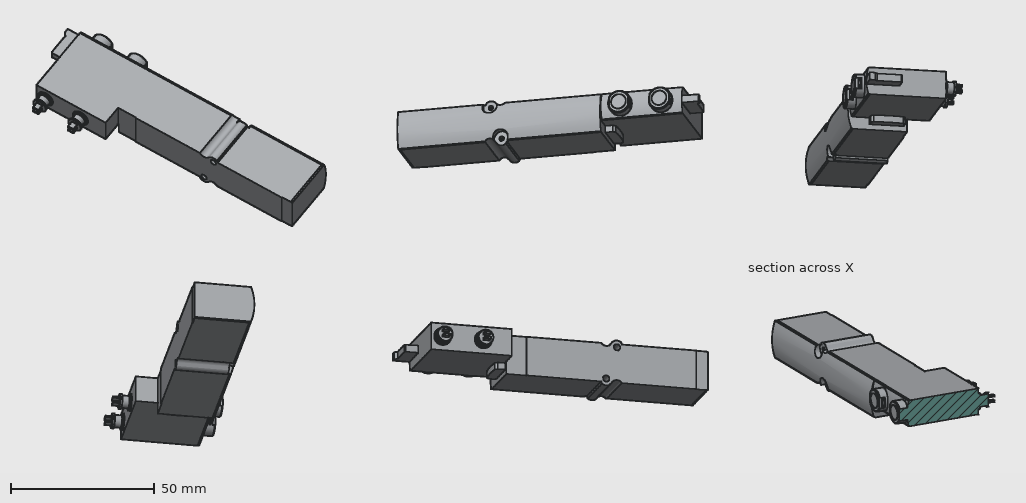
import cadquery as cq
import math

body_left = 35.4
body_right = 108.5
body_height = 14.1
mid_z = body_height / 2

block_left = 6.0
block_right = 35.2
block_height = 9.8
block_bottom = body_height - block_height
block_front = -7.6
block_mid_z = body_height - block_height / 2

back_edge_y = 20.2
body_back = 21.4
block_back = 20.8
edge_bevel_run = 0.7
edge_bevel_drop = 0.2

front_recess = 0.2
pad_left = 42.6
pad_right = 104.2

lobe_x = 75.4
groove_x = 71.5
lobe_radius = 2.4
groove_radius = 2.1
crest_half_width = 1.5
lobe_foot_half_width = 1.8
lobe_rise = 1.3
groove_depth = 1.0
screw_inset = 1.2
screw_diameter = 2.3
screw_bore_diameter = 1.6
screw_mouth_depth = 16.3
counterbore_diameter = 5.3
counterbore_floor = 18.7

contact_xs = (10.0, 24.7)
collar_diameter = 6.1
collar_length = 0.5
collar_step_diameter = 5.3
collar_step_length = 0.2
stem_diameter = 4.5
stem_end = -10.8
flange_diameter = 5.3
flange_length = 0.8
blade_width = 2.3
blade_thickness = 0.7
blade_spacing = 2.0
blade_end = -14.0

knob_xs = (13.3, 28.0)
knob_diameter = 8.1
knob_shoulder = 24.0
knob_end = 24.2
knob_rim = 0.3
knob_face_diameter = 5.3
knob_notch_width = 3.9
knob_notch_depth = 0.7
knob_notch_start = 23.0
knob_slot_start = 21.8
knob_slot_end = 22.4

tab_front = 9.1
tab_height = 2.6
tab_step_x = 1.0
tab_corner = 0.3
tab_hook_end = 19.0
tab_hook_start = 18.0

latch_left = 31.5
latch_front = 1.5
latch_back = 13.8
latch_bottom = 2.0
latch_bulge = 0.3
latch_corner = 0.9


def box(x0, x1, y0, y1, z0, z1):
    """Box between two opposite corners."""
    return cq.Workplane("XY").box(x1 - x0, y1 - y0, z1 - z0, centered=False).translate((x0, y0, z0))


def cylinder(x, z, y0, y1, diameter):
    """Cylinder along Y from y0 to y1."""
    disc = cq.Workplane("XZ", origin=(0, y0, 0)).center(x, z).circle(diameter / 2)
    return disc.extrude(y0 - y1)


def crowned_bar(x0, x1, front, z0, z1, back):
    """Bar along X whose back face is an arc between bevelled long edges."""
    middle = (z0 + z1) / 2
    bevel_start = back_edge_y - edge_bevel_run
    profile = (
        cq.Workplane("YZ", origin=(x0, 0, 0))
        .moveTo(front, z0)
        .lineTo(bevel_start, z0)
        .lineTo(back_edge_y, z0 + edge_bevel_drop)
        .threePointArc((back, middle), (back_edge_y, z1 - edge_bevel_drop))
        .lineTo(bevel_start, z1)
        .lineTo(front, z1)
        .close()
    )
    return profile.extrude(x1 - x0)


def half_turn(shape):
    """Turn a shape by 180 degrees about the body's Y axis of symmetry."""
    centre_x = (lobe_x + groove_x) / 2
    return shape.rotate((centre_x, 0, mid_z), (centre_x, 1, mid_z), 180)


def make_body():
    body = crowned_bar(body_left, body_right, 0, 0, body_height, body_back)
    for left, right in ((body_left, pad_left), (pad_right, body_right)):
        body = body.cut(box(left, right, 0, front_recess, 0, body_height))
    end_outline = [
        (body_right - edge_bevel_run, body_height),
        (body_right, body_height),
        (body_right, body_height - edge_bevel_drop),
    ]
    end_bevel = cq.Workplane("XZ").polyline(end_outline).close().extrude(-body_back)
    lower_bevel = end_bevel.mirror("XY").translate((0, 0, body_height))
    return body.cut(end_bevel).cut(lower_bevel)


def make_lobe():
    """Return a rounded ridge on the top face and the cutter for the groove at its foot."""
    centre_z = body_height + lobe_rise - lobe_radius
    groove_z = body_height - groove_depth + groove_radius
    crest_z = centre_z + math.sqrt(lobe_radius**2 - crest_half_width**2)
    valley_z = groove_z - math.sqrt(groove_radius**2 - crest_half_width**2)
    lobe_foot_x = lobe_x + lobe_foot_half_width
    flank_foot = (groove_x + crest_half_width, valley_z)
    lobe = (
        cq.Workplane("XZ")
        .moveTo(*flank_foot)
        .lineTo(lobe_x - crest_half_width, crest_z)
        .threePointArc((lobe_x, body_height + lobe_rise), (lobe_x + crest_half_width, crest_z))
        .lineTo(lobe_foot_x, body_height)
        .lineTo(lobe_foot_x, valley_z)
        .close()
        .extrude(-body_back)
    )
    groove_chord = math.sqrt(groove_radius**2 - (groove_z - body_height) ** 2)
    groove = (
        cq.Workplane("XZ")
        .moveTo(groove_x - groove_chord, body_height)
        .threePointArc((groove_x, body_height - groove_depth), flank_foot)
        .lineTo(lobe_x - crest_half_width, body_height)
        .close()
        .extrude(-body_back)
    )
    return lobe, groove


def make_screw_hole():
    z = body_height - screw_inset
    hole = cylinder(lobe_x, z, 0, body_back, screw_bore_diameter)
    mouth = cylinder(lobe_x, z, 0, screw_mouth_depth, screw_diameter)
    counterbore = cylinder(lobe_x, z, counterbore_floor, body_back, counterbore_diameter)
    return hole.union(mouth).union(counterbore)


def make_contact(x):
    collar_end = block_front - collar_length
    step_end = collar_end - collar_step_length
    flange_end = stem_end - flange_length
    contact = cylinder(x, block_mid_z, collar_end, block_front, collar_diameter)
    contact = contact.union(cylinder(x, block_mid_z, step_end, collar_end, collar_step_diameter))
    contact = contact.union(cylinder(x, block_mid_z, stem_end, step_end, stem_diameter))
    contact = contact.union(cylinder(x, block_mid_z, flange_end, stem_end, flange_diameter))
    for side in (-1, 1):
        z = block_mid_z + side * blade_spacing / 2
        blade = box(
            x - blade_width / 2,
            x + blade_width / 2,
            blade_end,
            flange_end,
            z - blade_thickness / 2,
            z + blade_thickness / 2,
        )
        contact = contact.union(blade)
    return contact


def make_knob(x):
    radius = knob_diameter / 2
    knob = cylinder(x, block_mid_z, back_edge_y, knob_shoulder, knob_diameter)
    knob = knob.faces(">Y").edges().chamfer(knob_rim)
    knob = knob.union(cylinder(x, block_mid_z, knob_shoulder, knob_end, knob_face_diameter))
    half_width = knob_notch_width / 2
    flat_x = radius - knob_notch_depth
    for left, right in ((x - radius, x - flat_x), (x + flat_x, x + radius)):
        for start, end in ((knob_notch_start, knob_shoulder), (knob_slot_start, knob_slot_end)):
            knob = knob.cut(
                box(left, right, start, end, block_mid_z - half_width, block_mid_z + half_width)
            )
    return knob


def make_tab():
    outline = [
        (block_left, tab_front),
        (tab_step_x + tab_corner, tab_front),
        (tab_step_x, tab_front + tab_corner),
        (tab_step_x, tab_hook_start),
        (0, tab_hook_end),
        (0, block_back),
        (block_left, block_back),
    ]
    tab = cq.Workplane("XY", origin=(0, 0, block_mid_z - tab_height / 2))
    return tab.polyline(outline).close().extrude(tab_height)


def make_latch():
    shoulder_x = latch_left + latch_bulge
    latch = (
        cq.Workplane("XY", origin=(0, 0, latch_bottom))
        .moveTo(body_left, latch_front)
        .lineTo(shoulder_x + latch_corner, latch_front)
        .lineTo(shoulder_x, latch_front + latch_corner)
        .threePointArc(
            (latch_left, (latch_front + latch_back) / 2),
            (shoulder_x, latch_back - latch_corner),
        )
        .lineTo(shoulder_x + latch_corner, latch_back)
        .lineTo(body_left, latch_back)
        .close()
    )
    return latch.extrude(block_bottom - latch_bottom)


body = make_body()
lobe, groove = make_lobe()
screw_hole = make_screw_hole()
body = body.cut(groove).cut(half_turn(groove))
body = body.union(lobe).union(half_turn(lobe))
body = body.cut(screw_hole).cut(half_turn(screw_hole))

block = crowned_bar(block_left, block_right, block_front, block_bottom, body_height, block_back)
bridge = box(block_right, body_left, front_recess, back_edge_y - edge_bevel_run, block_bottom, body_height)

result = body.union(block).union(bridge).union(make_tab()).union(make_latch())
for contact_x in contact_xs:
    result = result.union(make_contact(contact_x))
for knob_x in knob_xs:
    result = result.union(make_knob(knob_x))